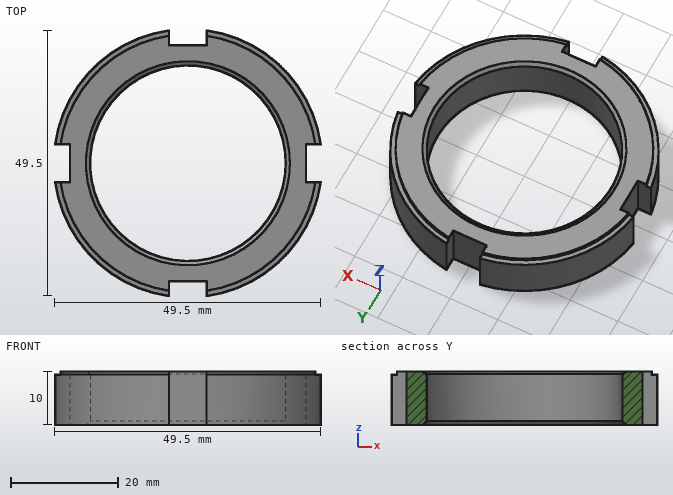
import cadquery as cq

outer_diameter = 50.0
height = 10.0
bore_diameter = 36.38

top_mouth_diameter = 38.0
top_mouth_depth = 0.52
bottom_chamfer = 0.75

top_face_diameter = 48.0
step_height = 0.6

slot_count = 4
slot_width = 7.0
slot_floor_radius = 22.0


def make_ring():
    """Round blank with a low step around its top rim."""
    rim = cq.Workplane("XY").circle(outer_diameter / 2).extrude(height - step_height)
    top_face = cq.Workplane("XY").circle(top_face_diameter / 2).extrude(height)
    return rim.union(top_face)


def cut_bore(body):
    """Through bore, widened at both mouths."""
    bore_radius = bore_diameter / 2
    half_profile = [
        (0, 0),
        (bore_radius + bottom_chamfer, 0),
        (bore_radius, bottom_chamfer),
        (bore_radius, height - top_mouth_depth),
        (top_mouth_diameter / 2, height),
        (0, height),
    ]
    bore = cq.Workplane("XZ").polyline(half_profile).close().revolve(360, (0, 0), (0, 1))
    return body.cut(bore)


def cut_slots(body):
    """Flat-floored slots, evenly spaced and open to the rim."""
    cutter_length = outer_diameter / 2
    slot = cq.Workplane("XY").box(cutter_length, slot_width, height, centered=(False, True, False))
    slot = slot.translate((slot_floor_radius, 0, 0))
    for index in range(slot_count):
        body = body.cut(slot.rotate((0, 0, 0), (0, 0, 1), index * 360 / slot_count))
    return body


result = cut_slots(cut_bore(make_ring()))